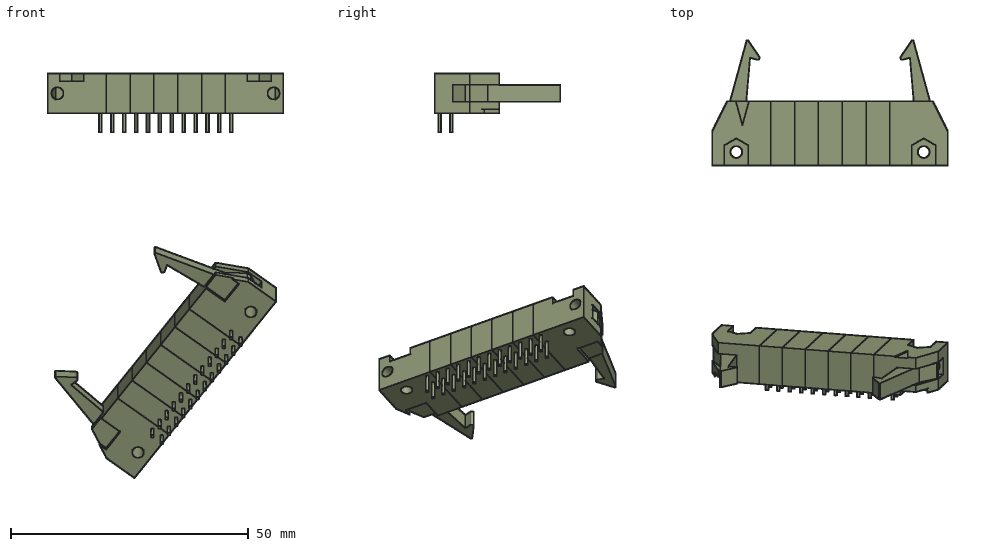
import cadquery as cq
import math


total_length = 49.5
total_depth = 26.4
total_height = 12.38

housing_depth = 13.55
housing_height = 8.35
left_end_length = 12.35
middle_count = 5
middle_length = 5.0
right_end_length = total_length - left_end_length - middle_count * middle_length
half_length = total_length / 2
corner_length = 3.1
corner_depth = 6.25

pin_diameter = 0.65
pin_length = total_height - housing_height
pin_pitch = middle_length / 2
pin_rows = (1.05, 3.5)

mount_inset = 5.05
mount_setback = 2.85
mount_diameter = 2.45
nut_width = 4.95
nut_depth = 1.65
nut_corner_radius = nut_width / math.sqrt(3)

latch_height = 3.55
latch_bottom = (housing_height - latch_height) / 2
latch_tip = (7.25, total_depth)
latch_bend = (3.05, 11.2)
tail_back = (0.3, 7.35)
tail_front = (0.3, 6.45)
window_front = 3.75
tail_end = (1.65, window_front)
tip_width = 0.3
hook_point = (10.6, 21.9)
hook_root = (7.95, 22.65)
hook_radius = 0.45
latch_inner_base = (7.2, housing_depth)
latch_anchor = (7.2, latch_bend[1])

front_hole_diameter = 2.5
front_hole_inset = 2.05
front_hole_depth = window_front

recess_inset = 1.55
recess_length = 4.95
recess_depth = 4.95
recess_height = 0.9

marker_inset = 6.35
marker_width = 2.75
marker_length = 5.05
marker_engraving = 0.2

overshoot = 0.5


def block(x, y, z, length, depth, height):
    return cq.Workplane("XY").box(length, depth, height, centered=False).translate((x, y, z))


def prism(points, bottom, height):
    return cq.Workplane("XY").workplane(offset=bottom).polyline(points).close().extrude(height)


def from_left_end(point):
    """Turn (distance from the left end, y) into (x, y)."""
    return (point[0] - half_length, point[1])


def pin_pair(x):
    """One pin of each row at the given x, reaching down from the underside."""
    places = [(x, y) for y in pin_rows]
    return cq.Workplane("XY").pushPoints(places).circle(pin_diameter / 2).extrude(-pin_length)


def middle_module(left):
    body = block(left, 0, 0, middle_length, housing_depth, housing_height)
    for column in (0.5, 1.5):
        body = body.union(pin_pair(left + column * pin_pitch))
    return body


def end_housing(length):
    outline = [
        (0, 0),
        (length, 0),
        (length, housing_depth),
        (corner_length, housing_depth),
        (0, housing_depth - corner_depth),
    ]
    return prism([from_left_end(p) for p in outline], 0, housing_height)


def side_window():
    """Space outside the latch, open to the end, the cut corner and the back."""
    outline = [
        latch_tip,
        latch_bend,
        tail_back,
        tail_front,
        tail_end,
        (-overshoot, window_front),
        (-overshoot, total_depth),
    ]
    return prism([from_left_end(p) for p in outline], latch_bottom, latch_height)


def latch_arm():
    """Arm with a hooked tip; its root is merged into the housing."""
    tip_corner = (latch_tip[0] + tip_width, total_depth)
    outline = [latch_tip, tip_corner, hook_point, hook_root, latch_inner_base, latch_anchor, latch_bend]
    arm = prism([from_left_end(p) for p in outline], latch_bottom, latch_height)
    return arm.edges("|Z").edges(">X").fillet(hook_radius)


def mount_cutter():
    """Through hole, hexagonal nut seat and the slot that opens the seat to the front."""
    x = mount_inset - half_length
    seat_floor = housing_height - nut_depth
    hole = (
        cq.Workplane("XY").center(x, mount_setback).circle(mount_diameter / 2).extrude(housing_height)
    )
    seat = (
        cq.Workplane("XY")
        .workplane(offset=seat_floor)
        .center(x, mount_setback)
        .transformed(rotate=(0, 0, 90))
        .polygon(6, 2 * nut_corner_radius)
        .extrude(nut_depth)
    )
    slot = block(x - nut_width / 2, 0, seat_floor, nut_width, mount_setback, nut_depth)
    return hole.union(seat).union(slot)


def front_hole():
    return (
        cq.Workplane("XZ")
        .center(front_hole_inset - half_length, housing_height / 2)
        .circle(front_hole_diameter / 2)
        .extrude(-front_hole_depth)
    )


def underside_recess():
    return block(
        recess_inset - half_length,
        housing_depth - recess_depth,
        0,
        recess_length,
        recess_depth,
        recess_height,
    )


def first_contact_marker():
    outline = [
        (marker_inset - marker_width / 2, housing_depth),
        (marker_inset, housing_depth - marker_length),
        (marker_inset + marker_width / 2, housing_depth),
    ]
    points = [from_left_end(p) for p in outline]
    return prism(points, housing_height - marker_engraving, marker_engraving)


def end_module(length):
    """End module of the given length, at the left end and without the marker."""
    body = end_housing(length).cut(side_window()).union(latch_arm())
    body = body.cut(mount_cutter()).cut(front_hole()).cut(underside_recess())
    return body.union(pin_pair(length - half_length - pin_pitch / 2))


left_end = end_module(left_end_length).cut(first_contact_marker())
right_end = end_module(right_end_length).mirror("YZ")
middles = [
    middle_module(left_end_length - half_length + index * middle_length)
    for index in range(middle_count)
]

result = cq.Compound.makeCompound(
    [left_end.val(), right_end.val(), *[middle.val() for middle in middles]]
)